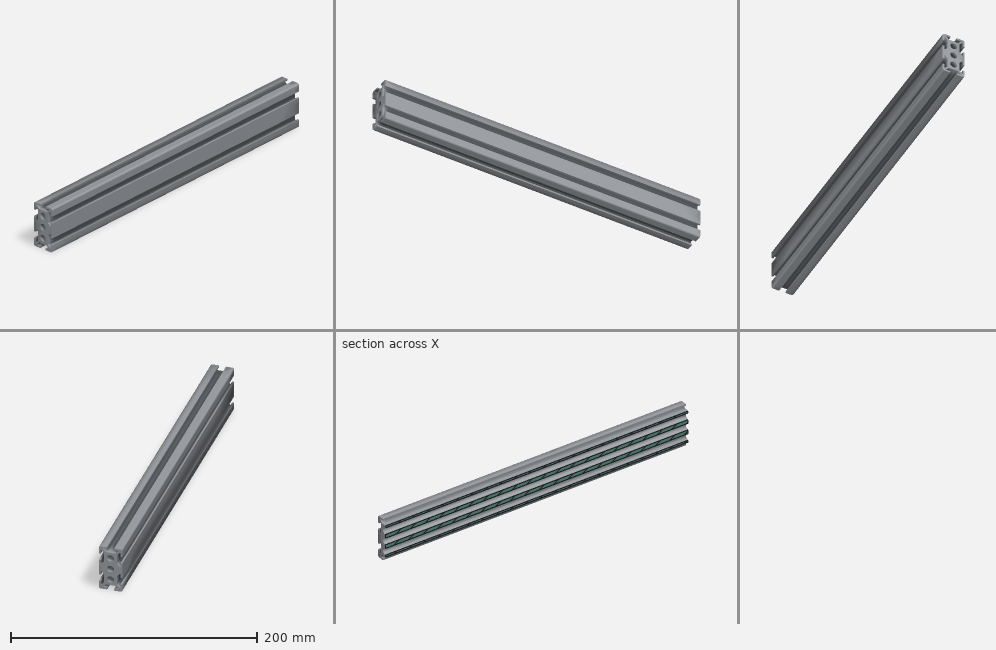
import math

import cadquery as cq

length = 300.0
width = 20.0
height = 40.0
bay_pitch = height / 2

lip_thickness = 1.65
slot_opening = 6.0
cavity_width = 13.2
core_width = 10.8
rib_thickness = 1.8
corner_radius = 1.65
hole_diameter = 6.0

rib_offset = rib_thickness / math.sqrt(2)
taper_start = width / 2 - (cavity_width / 2 + rib_offset)
floor_depth = (width - core_width) / 2
floor_half_width = core_width / 2 - rib_offset


def slot_void(x, z, angle):
    """T-slot void with its mouth centred at (x, z); it opens towards +Z, turned by angle about Y."""
    right_side = [
        (slot_opening / 2, 0),
        (slot_opening / 2, -lip_thickness),
        (cavity_width / 2, -lip_thickness),
        (cavity_width / 2, -taper_start),
        (floor_half_width, -floor_depth),
    ]
    left_side = [(-across, depth) for across, depth in reversed(right_side)]
    return (
        cq.Workplane("XZ")
        .polyline(right_side + left_side)
        .close()
        .extrude(length / 2, both=True)
        .rotate((0, 0, 0), (0, 1, 0), angle)
        .translate((x, 0, z))
    )


bar = cq.Workplane("XY").box(width, length, height).edges("|Y").fillet(corner_radius)

bar = bar.cut(slot_void(0, height / 2, 0))
bar = bar.cut(slot_void(0, -height / 2, 180))
for side in (-1, 1):
    for bay in (-1, 1):
        bar = bar.cut(slot_void(side * width / 2, bay * bay_pitch / 2, side * 90))

holes = (
    cq.Workplane("XZ")
    .pushPoints([(0, row * bay_pitch / 2) for row in (-1, 0, 1)])
    .circle(hole_diameter / 2)
    .extrude(length / 2, both=True)
)
result = bar.cut(holes)